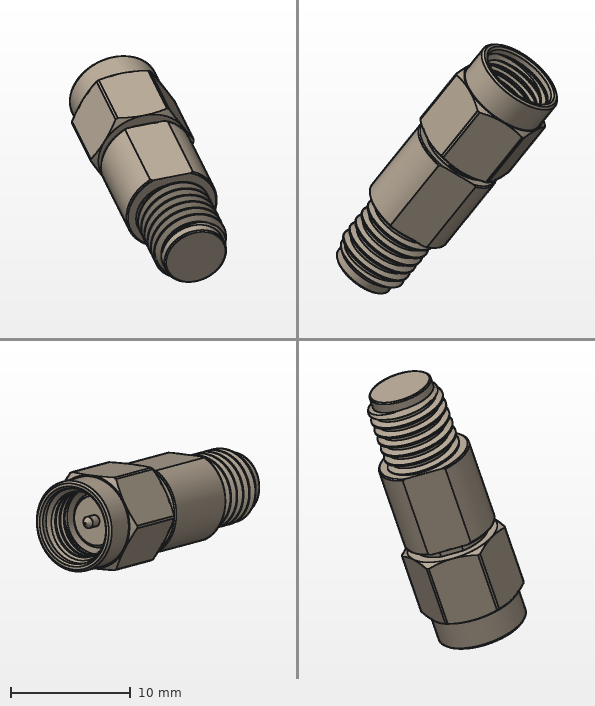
import cadquery as cq
import math

LENGTH = 23.3
NUT_COLLAR_LENGTH = 2.6
NUT_END = 8.6
BARREL_START = 9.25
BARREL_END = 16.61
EXTERNAL_THREAD_END = 22.45

NUT_ACROSS_FLATS = 7.9
NUT_CORNER_DIAMETER = 9.0
NUT_COLLAR_RADIUS = 3.85
NUT_COLLAR_CHAMFER = 0.19
NUT_END_BEVEL_ANGLE = 30.0
NUT_BORE_RADIUS = 2.82
NUT_MOUTH_RADIUS = 3.22
NUT_MOUTH_CHAMFER = 0.19
NUT_MOUTH_DEPTH = 0.65

INTERNAL_PITCH = 0.63
INTERNAL_THREAD_START = 0.37
INTERNAL_THREAD_END = 3.15
INTERNAL_CREST_WIDTH = 0.19
INTERNAL_ROOT_RADIUS = 3.2
INTERNAL_ROOT_WIDTH = 0.1

NOSE_START = 3.17
NOSE_LENGTH = 1.9
NOSE_RADIUS = 2.3
NOSE_CHAMFER = 0.2
NECK_RADIUS = 3.15
NECK_ACROSS_FLATS = 5.99
NECK_COLLAR_LENGTH = 0.1
BARREL_RADIUS = 3.95
BARREL_ACROSS_FLATS = 7.0
BARREL_CHAMFER = 0.12
TAIL_RADIUS = 2.7
TAIL_CHAMFER = 0.12

EXTERNAL_TURNS = 6
EXTERNAL_TURNS_LENGTH = 5.4
EXTERNAL_PITCH = EXTERNAL_TURNS_LENGTH / EXTERNAL_TURNS
EXTERNAL_CREST_RADIUS = 3.22
EXTERNAL_CREST_WIDTH = 0.15
EXTERNAL_BASE_WIDTH = 0.65
EXTERNAL_FIRST_CREST = 0.12

PIN_START = 1.72
PIN_RADIUS = 0.5
PIN_TIP_RADIUS = 0.07
PIN_CONE_LENGTH = 0.47
PIN_SEAT_DEPTH = 1.95

OVERLAP = 0.05


def turned(points):
    """Solid of revolution about X, from (x, radius) points that the axis closes."""
    first_x, last_x = points[0][0], points[-1][0]
    outline = [(first_x, 0), *points, (last_x, 0)]
    return cq.Workplane("XY").polyline(outline).close().revolve(360, (0, 0), (1, 0))


def cylinder(start, end, radius):
    return turned([(start, radius), (end, radius)])


def slab(start, end, thickness):
    """Block centered on the axis, with two flats facing up and down."""
    width = 2 * BARREL_RADIUS + OVERLAP
    return cq.Workplane("XY").box(end - start, width, thickness).translate(((start + end) / 2, 0, 0))


def thread_ridge(start, end, pitch, inner_radius, inner_width, outer_radius, outer_width):
    """Right-handed helical ridge around X whose profile is centered on `start` at the -Z side."""
    path = cq.Wire.makeHelix(pitch, end - start, inner_radius)
    profile = [
        (inner_radius, -inner_width / 2),
        (outer_radius, -outer_width / 2),
        (outer_radius, outer_width / 2),
        (inner_radius, inner_width / 2),
    ]
    ridge = cq.Workplane("XZ").polyline(profile).close().sweep(cq.Workplane(path), isFrenet=True)
    return ridge.rotate((0, 0, 0), (0, 1, 0), 90).translate((start, 0, 0))


def widened(width, far_width, height):
    """Width of a trapezoid's end after its sides are carried on past that end by OVERLAP."""
    return width + (width - far_width) / height * OVERLAP




def nut_hexagon():
    corner_radius = NUT_CORNER_DIAMETER / 2
    face_radius = NUT_ACROSS_FLATS / 2
    bevel = (corner_radius - face_radius) * math.tan(math.radians(NUT_END_BEVEL_ANGLE))
    hexagon = (
        cq.Workplane("YZ")
        .workplane(offset=NUT_COLLAR_LENGTH)
        .polygon(6, NUT_ACROSS_FLATS / math.cos(math.pi / 6))
        .extrude(NUT_END - NUT_COLLAR_LENGTH)
    )
    envelope = turned([
        (NUT_COLLAR_LENGTH, face_radius),
        (NUT_COLLAR_LENGTH + bevel, corner_radius),
        (NUT_END - bevel, corner_radius),
        (NUT_END, face_radius),
    ])
    return hexagon.intersect(envelope)


def nut_collar():
    return turned([
        (0, NUT_COLLAR_RADIUS - NUT_COLLAR_CHAMFER),
        (NUT_COLLAR_CHAMFER, NUT_COLLAR_RADIUS),
        (NUT_COLLAR_LENGTH + OVERLAP, NUT_COLLAR_RADIUS),
    ])


def nut_bore():
    mouth_taper = NUT_MOUTH_RADIUS - NUT_BORE_RADIUS
    return turned([
        (0, NUT_MOUTH_RADIUS + NUT_MOUTH_CHAMFER),
        (NUT_MOUTH_CHAMFER, NUT_MOUTH_RADIUS),
        (NUT_MOUTH_DEPTH, NUT_MOUTH_RADIUS),
        (NUT_MOUTH_DEPTH + mouth_taper, NUT_BORE_RADIUS),
        (NUT_END, NUT_BORE_RADIUS),
    ])


def nut_thread_groove():
    """Helical groove that begins in the open mouth and stops square at the thread end."""
    opening_width = INTERNAL_PITCH - INTERNAL_CREST_WIDTH
    depth = INTERNAL_ROOT_RADIUS - NUT_BORE_RADIUS
    groove = thread_ridge(
        INTERNAL_THREAD_START,
        INTERNAL_THREAD_END + INTERNAL_PITCH,
        INTERNAL_PITCH,
        NUT_BORE_RADIUS - OVERLAP,
        widened(opening_width, INTERNAL_ROOT_WIDTH, depth),
        INTERNAL_ROOT_RADIUS,
        INTERNAL_ROOT_WIDTH,
    )
    return groove.intersect(cylinder(0, INTERNAL_THREAD_END, NUT_MOUTH_RADIUS + OVERLAP))


def make_nut():
    nut = nut_hexagon().union(nut_collar()).cut(nut_bore()).cut(nut_thread_groove())
    return nut.solids()




def nose_and_shank():
    """Mating nose, and behind it the shank that fills the nut's bore."""
    shoulder = NOSE_START + NOSE_LENGTH
    return turned([
        (NOSE_START, NOSE_RADIUS - NOSE_CHAMFER),
        (NOSE_START + NOSE_CHAMFER, NOSE_RADIUS),
        (shoulder, NOSE_RADIUS),
        (shoulder, NUT_BORE_RADIUS),
        (NUT_END + OVERLAP, NUT_BORE_RADIUS),
    ])


def neck():
    """Round neck with two flats that stop at a thin round collar."""
    collar_start = BARREL_START - NECK_COLLAR_LENGTH
    flatted = cylinder(NUT_END, collar_start, NECK_RADIUS).intersect(
        slab(NUT_END, collar_start, NECK_ACROSS_FLATS)
    )
    return flatted.union(cylinder(collar_start, BARREL_START, NECK_RADIUS))


def barrel():
    """Round barrel with two wrench flats."""
    blank = turned([
        (BARREL_START, BARREL_RADIUS - BARREL_CHAMFER),
        (BARREL_START + BARREL_CHAMFER, BARREL_RADIUS),
        (BARREL_END - BARREL_CHAMFER, BARREL_RADIUS),
        (BARREL_END, BARREL_RADIUS - BARREL_CHAMFER),
    ])
    return blank.intersect(slab(BARREL_START, BARREL_END, BARREL_ACROSS_FLATS))


def tail():
    return turned([
        (BARREL_END, TAIL_RADIUS),
        (LENGTH - TAIL_CHAMFER, TAIL_RADIUS),
        (LENGTH, TAIL_RADIUS - TAIL_CHAMFER),
    ])


def tail_thread():
    """Thread ridge that starts at the barrel and runs out in a 45 degree taper."""
    height = EXTERNAL_CREST_RADIUS - TAIL_RADIUS
    ridge = thread_ridge(
        BARREL_END + EXTERNAL_FIRST_CREST - EXTERNAL_PITCH,
        EXTERNAL_THREAD_END + EXTERNAL_PITCH,
        EXTERNAL_PITCH,
        TAIL_RADIUS - OVERLAP,
        widened(EXTERNAL_BASE_WIDTH, EXTERNAL_CREST_WIDTH, height),
        EXTERNAL_CREST_RADIUS,
        EXTERNAL_CREST_WIDTH,
    )
    envelope = turned([
        (BARREL_END, EXTERNAL_CREST_RADIUS + OVERLAP),
        (EXTERNAL_THREAD_END - height - OVERLAP, EXTERNAL_CREST_RADIUS + OVERLAP),
        (EXTERNAL_THREAD_END, TAIL_RADIUS),
    ])
    return ridge.intersect(envelope)


def make_body(pin):
    body = nose_and_shank().union(neck()).union(barrel()).union(tail())
    return body.union(tail_thread()).cut(pin).solids()




def make_pin():
    """Pointed pin, seated in a blind hole in the nose."""
    return turned([
        (PIN_START, PIN_TIP_RADIUS),
        (PIN_START + PIN_CONE_LENGTH, PIN_RADIUS),
        (NOSE_START + PIN_SEAT_DEPTH, PIN_RADIUS),
    ])


nut = make_nut()
pin = make_pin()
body = make_body(pin)

result = cq.Compound.makeCompound([nut.val(), body.val(), pin.val()])